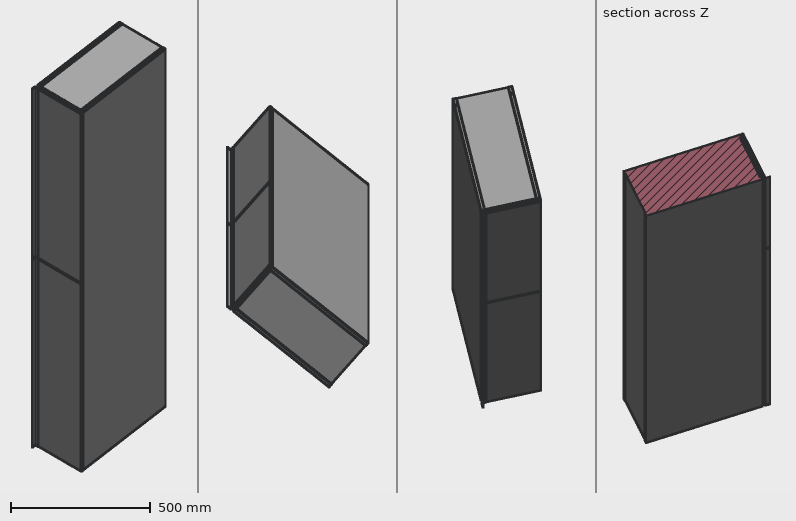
import cadquery as cq

WIDTH = 220.0
DEPTH = 477.0
HEIGHT = 1730.0

CARCASS_FRONT = 28.0
BOARD_THICKNESS = 16.0
BOARD_CHAMFER = 2.6
CORE_END_INSET = 2.0
CORE_BACK_INSET = 2.0
CORE_FRONT_INSET = 5.0

HOLE_DIAMETER = 7.0
HOLE_DEPTH = 17.0
HOLE_FROM_BACK = 30.0

PANEL_LEFT = 15.0
PANEL_FRONT = 16.1
PANEL_THICKNESS = 9.9
PANEL_CHAMFER = 2.5
GRIP_WALL = 3.0
LOWER_DOOR_BOTTOM = 2.0
JOINT_HEIGHT = 910.0
JOINT_GAP = 2.0


def block(x_range, y_range, z_range):
    """Rectangular block between the given limits along X, Y and Z."""
    starts = (x_range[0], y_range[0], z_range[0])
    sizes = [end - start for start, end in (x_range, y_range, z_range)]
    return cq.Workplane("XY").box(*sizes, centered=False).translate(starts)


def make_side_board(left):
    """Upright board, chamfered around its front, top and bottom faces, with a hole in its top."""
    board = block((left, left + BOARD_THICKNESS), (CARCASS_FRONT, DEPTH), (0, HEIGHT))
    board = board.faces("<Y or <Z or >Z").edges().chamfer(BOARD_CHAMFER)
    hole_bottom = (left + BOARD_THICKNESS / 2, DEPTH - HOLE_FROM_BACK, HEIGHT - HOLE_DEPTH)
    hole = cq.Workplane("XY", origin=hole_bottom).circle(HOLE_DIAMETER / 2).extrude(HOLE_DEPTH)
    return board.cut(hole)


def make_carcass():
    """Cabinet body: the core joined to its two side boards."""
    carcass = block(
        (BOARD_THICKNESS, WIDTH - BOARD_THICKNESS),
        (CARCASS_FRONT + CORE_FRONT_INSET, DEPTH - CORE_BACK_INSET),
        (CORE_END_INSET, HEIGHT - CORE_END_INSET),
    )
    for left in (0, WIDTH - BOARD_THICKNESS):
        carcass = carcass.union(make_side_board(left))
    return carcass


def make_door(bottom, top):
    """Door panel with its grip: a web beside the panel and a flange pointing forward."""
    height = (bottom, top)
    panel = block((PANEL_LEFT, WIDTH), (PANEL_FRONT, PANEL_FRONT + PANEL_THICKNESS), height)
    panel = panel.faces("<Y").edges().chamfer(PANEL_CHAMFER)
    grip_back = PANEL_FRONT + GRIP_WALL
    web = block((0, PANEL_LEFT), (PANEL_FRONT, grip_back), height)
    flange = block((0, GRIP_WALL), (0, grip_back), height)
    return panel.union(web.union(flange))


carcass = make_carcass()
lower_door = make_door(LOWER_DOOR_BOTTOM, JOINT_HEIGHT - JOINT_GAP / 2)
upper_door = make_door(JOINT_HEIGHT + JOINT_GAP / 2, HEIGHT)

bodies = (carcass, lower_door, upper_door)
result = cq.Compound.makeCompound([body.solids().val() for body in bodies])